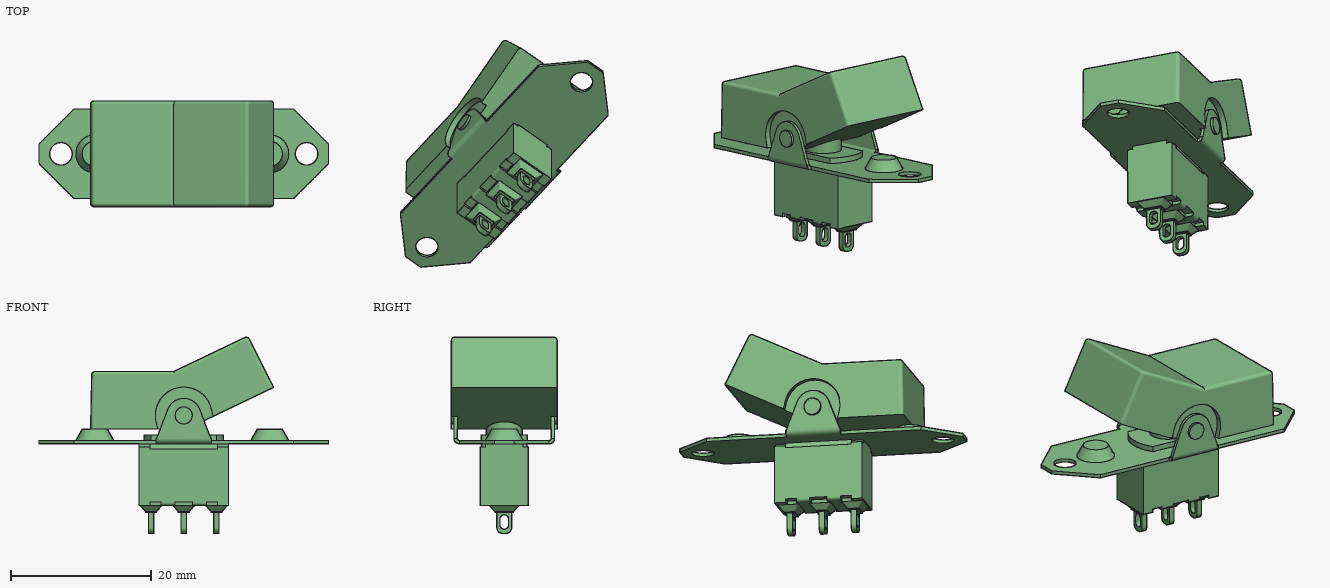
import cadquery as cq
import math


plate_length = 41.25
plate_width = 12.8
plate_thickness = 0.5
plate_corner = 5.0
mount_hole_diameter = 3.18
mount_hole_offset = 17.5

stop_base_diameter = 5.4
stop_top_diameter = 3.6
stop_top_z = 2.1
stop_spacing = 24.93
stop_shift = -0.2

rocker_width = 15.1
rocker_top_z = 10.3
rocker_bottom_z = stop_top_z
rocker_foot_reach = 13.3
rocker_shoulder_reach = 13.12
rocker_tilt = 12.8
rocker_fillet = 0.5
pivot_z = 4.05
pivot_recess_radius = 4.05

bracket_width = 14.35
bracket_length = 7.92
bracket_bend_radius = 0.75
bracket_tip_radius = 2.45
bracket_shoulder = 0.1
pin_diameter = 2.45

bushing_diameter = 5.2
collar_diameter = 11.4
collar_width = 6.6
collar_top_z = 1.3

body_length = 12.8
body_width = 6.9
body_height = 8.8
body_middle_length = 9.57
top_bevel_width = 0.3
top_bevel_height = 0.75
end_notch_height = 0.45
end_notch_inner_width = 5.3
bottom_notch_height = 0.5
bottom_core_width = 4.25
bottom_rib_length = 2.0
bottom_rib_offset = 2.23
bottom_rib_fillet = 0.37

terminal_pitch = 4.65
terminal_thickness = 0.8
terminal_width = 2.15
terminal_tip_z = -12.8
terminal_slot_width = 1.2
terminal_slot_length = 2.02
terminal_slot_z = -11.15
terminal_tip_radius = 0.85
foot_top_length = 3.1
foot_top_width = bottom_core_width
foot_bottom_length = 1.55
foot_bottom_width = 2.7
foot_fillet = 0.2
foot_taper_height = 0.85
foot_lip_height = 0.12


def box(length, width, bottom_z, top_z):
    """Block centred on the Z axis between two heights."""
    height = top_z - bottom_z
    return cq.Workplane("XY", origin=(0, 0, bottom_z)).box(length, width, height, (True, True, False))


def across(width):
    """XZ sketch plane from which extruding by `width` is centred on Y = 0."""
    return cq.Workplane("XZ", origin=(0, width / 2, 0))


def make_plate():
    plate = box(plate_length, plate_width, 0, plate_thickness).edges("|Z").chamfer(plate_corner)
    holes = (
        cq.Workplane("XY")
        .pushPoints([(-mount_hole_offset, 0), (mount_hole_offset, 0)])
        .circle(mount_hole_diameter / 2)
        .extrude(plate_thickness)
    )
    return plate.cut(holes)


def make_stop(x):
    return (
        cq.Workplane("XY", origin=(x, 0, plate_thickness))
        .circle(stop_base_diameter / 2)
        .workplane(offset=stop_top_z - plate_thickness)
        .circle(stop_top_diameter / 2)
        .loft(ruled=True)
    )


def make_rocker():
    lean = math.tan(math.radians(rocker_tilt))
    level_arm = (
        across(rocker_width)
        .polyline([
            (-rocker_foot_reach, rocker_bottom_z),
            (-rocker_shoulder_reach, rocker_top_z),
            (-(rocker_top_z - pivot_z) * lean, rocker_top_z),
            ((pivot_z - rocker_bottom_z) * lean, rocker_bottom_z),
        ])
        .close()
        .extrude(rocker_width)
    )
    top_edges = level_arm.faces(">Z").edges("|X or <X").vals()
    end_edges = level_arm.faces("<X").edges("not |Y").vals()
    level_arm = level_arm.newObject(top_edges + end_edges).fillet(rocker_fillet)
    pivot_start = (0, 0, pivot_z)
    pivot_end = (0, 1, pivot_z)
    raised_arm = level_arm.mirror("YZ").rotate(pivot_start, pivot_end, -2 * rocker_tilt)
    rocker = level_arm.union(raised_arm)

    recess = (
        across(rocker_width)
        .center(0, pivot_z)
        .moveTo(-pivot_recess_radius, 0)
        .threePointArc((0, pivot_recess_radius), (pivot_recess_radius, 0))
        .vLine(-pivot_z)
        .hLine(-2 * pivot_recess_radius)
        .close()
        .extrude(rocker_width)
        .rotate(pivot_start, pivot_end, -rocker_tilt)
    )
    core_width = bracket_width - 2 * plate_thickness
    core = box(plate_length, core_width, 0, 2 * rocker_top_z)
    return rocker.cut(recess.cut(core))


def make_bracket():
    tip_z = pivot_z + bracket_tip_radius
    channel = box(bracket_length, bracket_width, 0, tip_z).edges("|X and <Z").fillet(bracket_bend_radius)
    inner_width = bracket_width - 2 * plate_thickness
    inner = box(bracket_length, inner_width, plate_thickness, tip_z)
    inner = inner.edges("|X and <Z").fillet(bracket_bend_radius - plate_thickness)

    base_x = bracket_length / 2 - bracket_shoulder
    drop = pivot_z - bracket_bend_radius
    tangent_angle = math.acos(bracket_tip_radius / math.hypot(base_x, drop)) - math.atan2(drop, base_x)
    tangent_x = bracket_tip_radius * math.cos(tangent_angle)
    tangent_z = pivot_z + bracket_tip_radius * math.sin(tangent_angle)
    ear = (
        across(bracket_width)
        .moveTo(-base_x, bracket_bend_radius)
        .lineTo(-tangent_x, tangent_z)
        .threePointArc((0, tip_z), (tangent_x, tangent_z))
        .lineTo(base_x, bracket_bend_radius)
        .close()
        .extrude(bracket_width)
    )
    outline = ear.union(box(bracket_length, bracket_width, 0, bracket_bend_radius))
    pin = across(rocker_width).center(0, pivot_z).circle(pin_diameter / 2).extrude(rocker_width)
    return channel.cut(inner).intersect(outline).union(pin)


def make_bushing():
    bushing = cq.Workplane("XY").circle(bushing_diameter / 2).extrude(pivot_z)
    collar = cq.Workplane("XY").circle(collar_diameter / 2).extrude(collar_top_z)
    return bushing.union(collar.intersect(box(collar_diameter, collar_width, 0, collar_top_z)))


def make_body():
    half_width = body_width / 2
    body = (
        cq.Workplane("YZ", origin=(-body_length / 2, 0, 0))
        .polyline([
            (-half_width, -body_height),
            (-half_width, -top_bevel_height),
            (-half_width + top_bevel_width, 0),
            (half_width - top_bevel_width, 0),
            (half_width, -top_bevel_height),
            (half_width, -body_height),
        ])
        .close()
        .extrude(body_length)
    )
    ends = box(body_length, body_width, -body_height, -end_notch_height)
    ends = ends.union(box(body_length, end_notch_inner_width, -end_notch_height, 0))
    middle = box(body_middle_length, body_width, -body_height, 0)
    body = body.intersect(middle).union(ends.cut(middle))

    notch_top_z = -body_height + bottom_notch_height
    notches = box(body_middle_length, body_width, -body_height, notch_top_z)
    core = box(body_middle_length, bottom_core_width, -body_height, notch_top_z)
    body = body.cut(notches.cut(core))

    rib = box(bottom_rib_length, body_width, -body_height, notch_top_z)
    rib = rib.edges("|X and <Z").fillet(bottom_rib_fillet)
    for side in (-1, 1):
        body = body.union(rib.translate((side * bottom_rib_offset, 0, 0)))
    return body


def make_terminal(x):
    foot = (
        cq.Workplane("XY", origin=(x, 0, -body_height))
        .rect(foot_top_length, foot_top_width)
        .workplane(offset=-foot_taper_height)
        .rect(foot_bottom_length, foot_bottom_width)
        .loft(ruled=True)
        .edges("not #Z")
        .fillet(foot_fillet)
    )
    lip_top_z = -body_height - foot_taper_height
    lip = box(foot_bottom_length, foot_bottom_width, lip_top_z - foot_lip_height, lip_top_z)
    lip = lip.edges("|Z").fillet(foot_fillet).translate((x, 0, 0))
    lug = box(terminal_thickness, terminal_width, terminal_tip_z, -body_height)
    lug = lug.edges("|X and <Z").fillet(terminal_tip_radius)
    slot = (
        cq.Workplane("YZ", origin=(-terminal_thickness / 2, 0, terminal_slot_z))
        .slot2D(terminal_slot_length, terminal_slot_width, 90)
        .extrude(terminal_thickness)
    )
    return foot.union(lip).union(lug.cut(slot).translate((x, 0, 0)))


result = make_plate().union(make_bushing()).union(make_body())
for side in (-1, 1):
    result = result.union(make_stop(stop_shift + side * stop_spacing / 2))
for position in (-1, 0, 1):
    result = result.union(make_terminal(position * terminal_pitch))
result = result.union(make_rocker()).union(make_bracket())